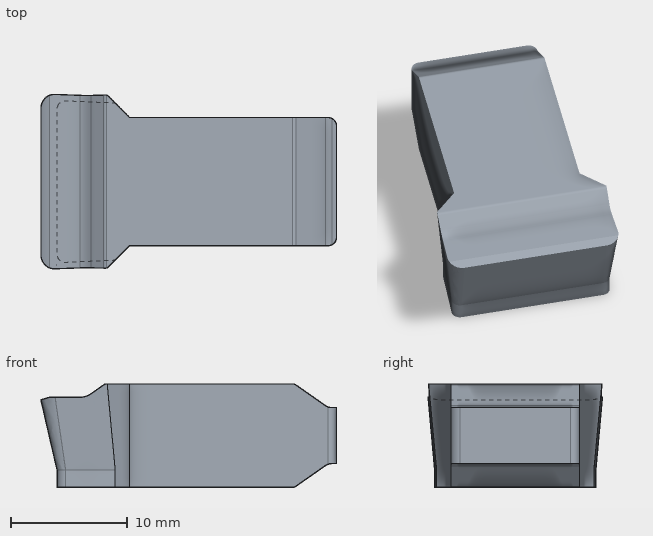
import cadquery as cq
import math

LENGTH = 25.4
HEIGHT = 8.9
SHANK_HALF_WIDTH = 5.5

FOOT_HEIGHT = 1.47
FOOT_FRONT = 1.4
FOOT_HALF_WIDTH = 6.95
FOOT_CORNER_RADIUS = 0.7
EDGE_HEIGHT = 7.52
EDGE_HALF_WIDTH = 7.52
EDGE_CORNER_RADIUS = 1.22
SIDE_RELIEF = math.tan(math.radians(2.5))
SHOULDER_END = 7.62
HEAD_BACK = 8.9
SHANK_OVERLAP = 1.27

LIP_LENGTH = 0.75
LAND_HEIGHT = 7.75
RAMP_START = 3.89
RAMP_ANGLE = 35.0
GROOVE_RADIUS = 1.63
CREST_RADIUS = 0.45

TAIL_START = 21.77
TAIL_ANGLE = 35.0
TAIL_HEIGHT = 4.83
TAIL_ROOT_RADIUS = 0.97
TAIL_CORNER_RADIUS = 0.75


def along_flare(foot_value, edge_value, z):
    """Straight-line change of a head size from the foot up past the cutting edge."""
    share = (z - FOOT_HEIGHT) / (EDGE_HEIGHT - FOOT_HEIGHT)
    return foot_value + (edge_value - foot_value) * share


def head_section(z):
    """Plan outline of the head, narrowing towards the back, with round front corners."""
    front = along_flare(FOOT_FRONT, 0, z)
    half_width = along_flare(FOOT_HALF_WIDTH, EDGE_HALF_WIDTH, z)
    radius = along_flare(FOOT_CORNER_RADIUS, EDGE_CORNER_RADIUS, z)
    back_half_width = half_width - SIDE_RELIEF * (HEAD_BACK - FOOT_FRONT)
    taper = math.atan2(half_width - back_half_width, HEAD_BACK - front)

    tangent = radius * math.tan((math.pi / 2 + taper) / 2)
    center_x = front + radius
    center_y = half_width - tangent
    side_x = center_x + radius * math.sin(taper)
    side_y = center_y + radius * math.cos(taper)
    middle_angle = 3 * math.pi / 4 - taper / 2
    middle_x = center_x + radius * math.cos(middle_angle)
    middle_y = center_y + radius * math.sin(middle_angle)
    return (
        cq.Workplane("XY", origin=(0, 0, z))
        .moveTo(front, -center_y)
        .lineTo(front, center_y)
        .threePointArc((middle_x, middle_y), (side_x, side_y))
        .lineTo(HEAD_BACK, back_half_width)
        .lineTo(HEAD_BACK, -back_half_width)
        .lineTo(side_x, -side_y)
        .threePointArc((middle_x, -middle_y), (front, -center_y))
        .close()
    )


def make_head():
    foot = head_section(FOOT_HEIGHT).extrude(-FOOT_HEIGHT)
    lower_wire = head_section(FOOT_HEIGHT).val()
    upper_wire = head_section(HEIGHT).val()
    flare = cq.Solid.makeLoft([lower_wire, upper_wire], True)
    head = foot.union(cq.Workplane(flare))

    front = -LENGTH
    shoulder_half_width = SHANK_HALF_WIDTH + SHOULDER_END - front
    shoulders = (
        cq.Workplane("XY")
        .polyline([
            (front, -shoulder_half_width),
            (SHOULDER_END, -SHANK_HALF_WIDTH),
            (SHOULDER_END, SHANK_HALF_WIDTH),
            (front, shoulder_half_width),
        ])
        .close()
        .extrude(HEIGHT)
    )
    return head.intersect(shoulders)


def make_shank():
    start = SHOULDER_END - SHANK_OVERLAP
    shank = (
        cq.Workplane("XY", origin=(start, 0, 0))
        .box(LENGTH - start, 2 * SHANK_HALF_WIDTH, HEIGHT, centered=(False, True, False))
    )
    return shank.edges("|Z and >X").fillet(TAIL_CORNER_RADIUS)


def make_side_profile():
    """Side silhouette of the whole part, extruded across the full width."""
    ramp_end = RAMP_START + (HEIGHT - LAND_HEIGHT) / math.tan(math.radians(RAMP_ANGLE))
    tail_bottom = (HEIGHT - TAIL_HEIGHT) / 2
    tail_top = tail_bottom + TAIL_HEIGHT
    tail_root = TAIL_START + tail_bottom / math.tan(math.radians(TAIL_ANGLE))
    profile = (
        cq.Workplane("XZ")
        .polyline([
            (0, 0),
            (0, EDGE_HEIGHT),
            (LIP_LENGTH, LAND_HEIGHT),
            (RAMP_START, LAND_HEIGHT),
            (ramp_end, HEIGHT),
            (TAIL_START, HEIGHT),
            (tail_root, tail_top),
            (LENGTH, tail_top),
            (LENGTH, tail_bottom),
            (tail_root, tail_bottom),
            (TAIL_START, 0),
        ])
        .close()
        .extrude(LENGTH / 2, both=True)
    )

    def round_corner(solid, x, z, radius):
        edge = cq.selectors.NearestToPointSelector((x, 0, z))
        return solid.edges("|Y").edges(edge).fillet(radius)

    profile = round_corner(profile, RAMP_START, LAND_HEIGHT, GROOVE_RADIUS)
    profile = round_corner(profile, ramp_end, HEIGHT, CREST_RADIUS)
    for outer_z, inner_z in ((HEIGHT, tail_top), (0, tail_bottom)):
        profile = round_corner(profile, TAIL_START, outer_z, CREST_RADIUS)
        profile = round_corner(profile, tail_root, inner_z, TAIL_ROOT_RADIUS)
    return profile


result = make_head().union(make_shank()).intersect(make_side_profile())